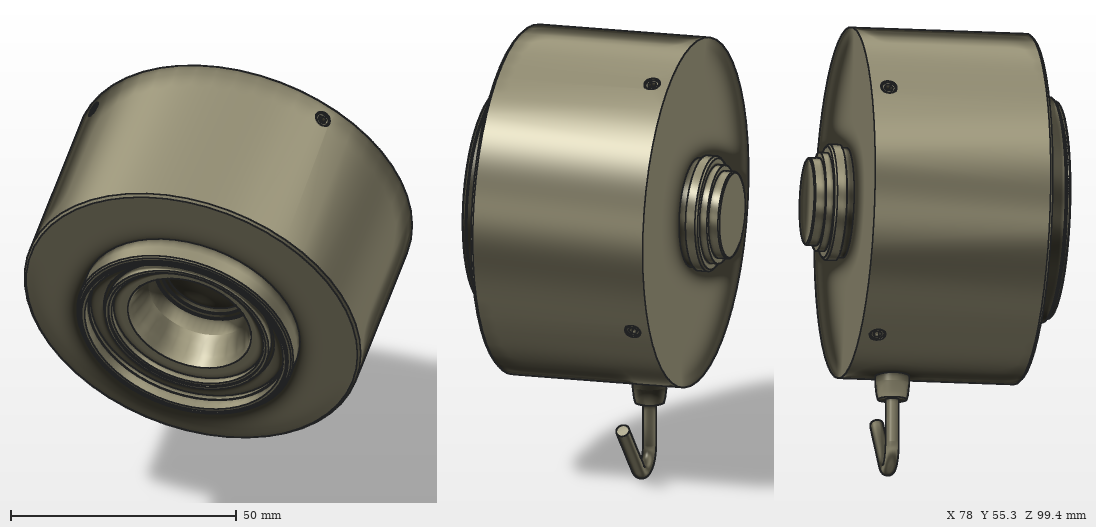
import cadquery as cq
import math


drum_dia = 78.0
drum_length = 40.1
drum_chamfer = 0.6
overall_length = 55.3
overall_height = 99.4

boss_dia = 50.2
boss_length = 5.6
boss_chamfer = 0.4
rim_dia = 48.5
rim_projection = 6.6
rim_neck_dia = 47.9
rim_neck_length = 0.3
rim_chamfer = 0.2

recess_dia = 46.0
recess_mouth_dia = 47.5
recess_mouth_depth = 0.5
recess_lower_dia = 45.5
recess_lower_y = -3.4
recess_floor_y = -2.2
groove_outer_dia = 39.6
groove_bottom_y = -1.5
ring_outer_dia = 38.0
ring_mouth_dia = 36.6
ring_inner_dia = 35.2
ring_top_y = -3.9
ring_shelf_y = -3.4
ring_floor_y = -1.8

cone_mouth_dia = 28.6
bore_dia = 23.7
cone_end_y = 6.0
bore_step_dia = 23.1
bore_step_y = 10.6
bore_end_y = 10.9
lens_seat_dia = 20.8
lens_seat_depth = 0.7
lens_dia = 19.4
lens_edge_y = 12.1
lens_rise = 2.5

stub_neck_dia = 24.4
flange_dia = 25.7
flange_start_y = 41.8
flange_end_y = 44.5
flange_chamfer = 0.5
collar_dia = 22.0
collar_end_y = 46.2
tail_dia = 19.5
tail_chamfer = 0.3

screw_angles = (60, 150, 240, 330)
screw_y = 36.2
screw_hole_dia = 3.6
screw_recess = 0.3
screw_face_dia = 3.0
screw_chamfer_depth = 0.3
socket_corner_dia = 2.0
socket_depth = 1.5

gland_y = 29.4
gland_dia = 7.7
gland_end_dia = 6.5
gland_shoulder_z = -40.5
gland_end_z = -44.2
gland_embed = 1.0
cable_dia = 3.0
bend_start_z = -54.0
lowest_z = drum_dia / 2 - overall_height
bend_angle = 135
cable_tail_length = 16.1


def make_turned_body():
    """Revolve the full half-section of drum, boss, recess, lens and stub."""
    drum_r = drum_dia / 2
    back_y = overall_length - rim_projection
    outline = (
        cq.Workplane("XY")
        .moveTo(0, lens_edge_y - lens_rise)
        .threePointArc(*dome_points())
        .lineTo(lens_seat_dia / 2, lens_edge_y - lens_seat_depth)
        .lineTo(lens_seat_dia / 2, bore_end_y)
        .lineTo(bore_step_dia / 2, bore_end_y)
        .lineTo(bore_step_dia / 2, bore_step_y)
        .lineTo(bore_dia / 2, bore_step_y)
        .lineTo(bore_dia / 2, cone_end_y)
        .lineTo(cone_mouth_dia / 2, ring_floor_y)
        .lineTo(ring_inner_dia / 2, ring_floor_y)
        .lineTo(ring_inner_dia / 2, ring_shelf_y)
        .lineTo(ring_mouth_dia / 2, ring_shelf_y)
        .lineTo(ring_mouth_dia / 2, ring_top_y)
        .lineTo(ring_outer_dia / 2, ring_top_y)
        .lineTo(ring_outer_dia / 2, groove_bottom_y)
        .lineTo(groove_outer_dia / 2, groove_bottom_y)
        .lineTo(groove_outer_dia / 2, recess_floor_y)
        .lineTo(recess_lower_dia / 2, recess_floor_y)
        .lineTo(recess_lower_dia / 2, recess_lower_y)
        .lineTo(recess_dia / 2, recess_lower_y)
        .lineTo(recess_dia / 2, -rim_projection + recess_mouth_depth)
        .lineTo(recess_mouth_dia / 2, -rim_projection + recess_mouth_depth)
        .lineTo(recess_mouth_dia / 2, -rim_projection)
        .lineTo(rim_dia / 2 - rim_chamfer, -rim_projection)
        .lineTo(rim_dia / 2, -rim_projection + rim_chamfer)
        .lineTo(rim_neck_dia / 2, -boss_length - rim_neck_length)
        .lineTo(rim_neck_dia / 2, -boss_length)
        .lineTo(boss_dia / 2 - boss_chamfer, -boss_length)
        .lineTo(boss_dia / 2, -boss_length + boss_chamfer)
        .lineTo(boss_dia / 2, 0)
        .lineTo(drum_r - drum_chamfer, 0)
        .lineTo(drum_r, drum_chamfer)
        .lineTo(drum_r, drum_length)
        .lineTo(stub_neck_dia / 2, drum_length)
        .lineTo(stub_neck_dia / 2, flange_start_y)
        .lineTo(flange_dia / 2, flange_start_y)
        .lineTo(flange_dia / 2, flange_end_y - flange_chamfer)
        .lineTo(flange_dia / 2 - flange_chamfer, flange_end_y)
        .lineTo(collar_dia / 2, flange_end_y)
        .lineTo(collar_dia / 2, collar_end_y)
        .lineTo(tail_dia / 2, collar_end_y)
        .lineTo(tail_dia / 2, back_y - tail_chamfer)
        .lineTo(tail_dia / 2 - tail_chamfer, back_y)
        .lineTo(0, back_y)
        .close()
    )
    return outline.revolve(360, (0, 0, 0), (0, 1, 0))


def dome_points():
    """Midpoint and end of the lens arc, starting from its apex on the axis."""
    lens_r = lens_dia / 2
    sphere_r = (lens_r**2 + lens_rise**2) / (2 * lens_rise)
    half_angle = math.asin(lens_r / sphere_r) / 2
    mid_x = sphere_r * math.sin(half_angle)
    mid_y = lens_edge_y - lens_rise + sphere_r * (1 - math.cos(half_angle))
    return (mid_x, mid_y), (lens_r, lens_edge_y)


def make_screw_cut(angle):
    """Cut that leaves a recessed set screw end with a hexagon socket, turned about Y."""
    face_x = drum_dia / 2 - screw_recess
    face = cq.Workplane("YZ", origin=(face_x, screw_y, 0))
    mouth = face.circle(screw_hole_dia / 2).extrude(2 * screw_recess)
    gap = face.circle(screw_hole_dia / 2).extrude(-screw_chamfer_depth)
    screw_end = (
        face.workplane(offset=-screw_chamfer_depth)
        .circle(screw_hole_dia / 2)
        .workplane(offset=screw_chamfer_depth)
        .circle(screw_face_dia / 2)
        .loft(combine=False)
    )
    socket = face.polygon(6, socket_corner_dia).extrude(-socket_depth)
    cutter = mouth.union(gap.cut(screw_end)).union(socket)
    return cutter.rotate((0, 0, 0), (0, 1, 0), -angle)


def make_gland():
    """Revolve the gland about the vertical cable axis; its lower side bulges."""
    top_r = gland_dia / 2
    end_r = gland_end_dia / 2
    side_length = gland_shoulder_z - gland_end_z
    flare = top_r - end_r
    sphere_r = (side_length**2 + flare**2) / (2 * flare)
    half_angle = math.asin(side_length / sphere_r) / 2
    side_mid = (
        top_r - sphere_r * (1 - math.cos(half_angle)),
        gland_shoulder_z - sphere_r * math.sin(half_angle),
    )
    root_z = -drum_dia / 2 + gland_embed
    return (
        cq.Workplane("XZ", origin=(0, gland_y, 0))
        .moveTo(0, root_z)
        .lineTo(top_r, root_z)
        .lineTo(top_r, gland_shoulder_z)
        .threePointArc(side_mid, (end_r, gland_end_z))
        .lineTo(0, gland_end_z)
        .close()
        .revolve(360, (0, 0, 0), (0, 1, 0))
    )


def make_cable():
    """Sweep the cable down, round the bend and up along its slanted tail."""
    bend_r = bend_start_z - cable_dia / 2 - lowest_z
    turn = math.radians(bend_angle)

    def bend_point(angle):
        return bend_r * (1 - math.cos(angle)), bend_start_z - bend_r * math.sin(angle)

    end_x, end_z = bend_point(turn)
    tail_end = (
        end_x + cable_tail_length * math.sin(turn),
        end_z - cable_tail_length * math.cos(turn),
    )
    path = (
        cq.Workplane("XZ", origin=(0, gland_y, 0))
        .moveTo(0, gland_shoulder_z)
        .lineTo(0, bend_start_z)
        .threePointArc(bend_point(turn / 2), (end_x, end_z))
        .lineTo(*tail_end)
    )
    section = cq.Workplane("XY", origin=(0, gland_y, gland_shoulder_z)).circle(cable_dia / 2)
    return section.sweep(path)


result = make_turned_body()
for screw_angle in screw_angles:
    result = result.cut(make_screw_cut(screw_angle))
result = result.union(make_gland()).union(make_cable())